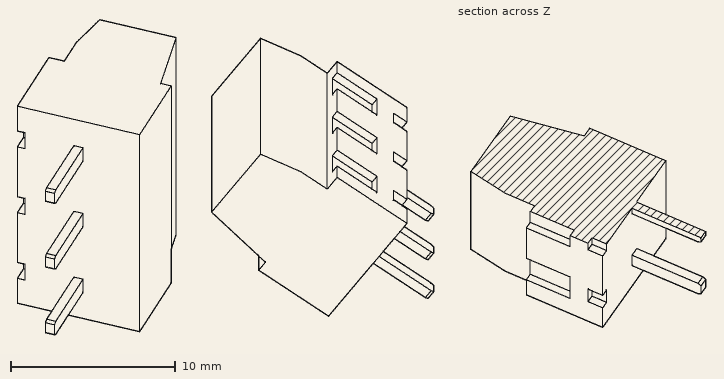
import cadquery as cq

POLE_COUNT = 3
HEIGHT = 15.0
POLE_PITCH = HEIGHT / POLE_COUNT

BASE_WIDTH = 8.0
BASE_DEPTH = 5.31
HOUSING_DEPTH = 10.0
LEFT_STEP = 1.0
RIGHT_STEP = 0.69
LEFT_BEVEL_DEPTH = 2.68
LEFT_BEVEL_INSET = 0.5
RIGHT_TAPER_INSET = 0.81

PIN_WIDTH = 0.6
PIN_HEIGHT = 1.0
PIN_LENGTH = 4.8
TIP_LENGTH = 0.21
TIP_INSET = 0.12

POCKET_DEPTH = 0.5

WINDOW_HEIGHT = 2.07
WINDOW_LENGTH = 3.03

NOTCH_HEIGHT = 1.2
NOTCH_LENGTH = 1.02

LEFT = -BASE_WIDTH / 2
RIGHT = BASE_WIDTH / 2
POLE_LEVELS = [(i + 0.5) * POLE_PITCH for i in range(POLE_COUNT)]


def make_housing():
    """Stepped section with a tapered head, extruded over all poles."""
    head_left = LEFT + LEFT_STEP
    head_right = RIGHT - RIGHT_STEP
    outline = [
        (LEFT, 0),
        (RIGHT, 0),
        (RIGHT, BASE_DEPTH),
        (head_right, BASE_DEPTH),
        (head_right - RIGHT_TAPER_INSET, HOUSING_DEPTH),
        (head_left + LEFT_BEVEL_INSET, HOUSING_DEPTH),
        (head_left, HOUSING_DEPTH - LEFT_BEVEL_DEPTH),
        (head_left, BASE_DEPTH),
        (LEFT, BASE_DEPTH),
    ]
    return cq.Workplane("XY").polyline(outline).close().extrude(HEIGHT)


def left_face_pocket(start_y, length, height, level):
    """Box that cuts into the -X face, centred on a pole level."""
    corner = (LEFT, start_y, level - height / 2)
    return cq.Workplane("XY").box(POCKET_DEPTH, length, height, centered=False).translate(corner)


def make_pin(level):
    """Rectangular pin whose tip is bevelled on its upper and lower sides."""
    half_height = PIN_HEIGHT / 2
    tip_half_height = half_height - TIP_INSET
    shoulder = TIP_LENGTH - PIN_LENGTH
    profile = [
        (0, level - half_height),
        (shoulder, level - half_height),
        (-PIN_LENGTH, level - tip_half_height),
        (-PIN_LENGTH, level + tip_half_height),
        (shoulder, level + half_height),
        (0, level + half_height),
    ]
    return cq.Workplane("YZ").polyline(profile).close().extrude(PIN_WIDTH / 2, both=True)


result = make_housing()
for pole_level in POLE_LEVELS:
    window_start = BASE_DEPTH - WINDOW_LENGTH
    result = result.cut(
        left_face_pocket(window_start, WINDOW_LENGTH, WINDOW_HEIGHT, pole_level)
    )
    result = result.cut(left_face_pocket(0, NOTCH_LENGTH, NOTCH_HEIGHT, pole_level))
    result = result.union(make_pin(pole_level))